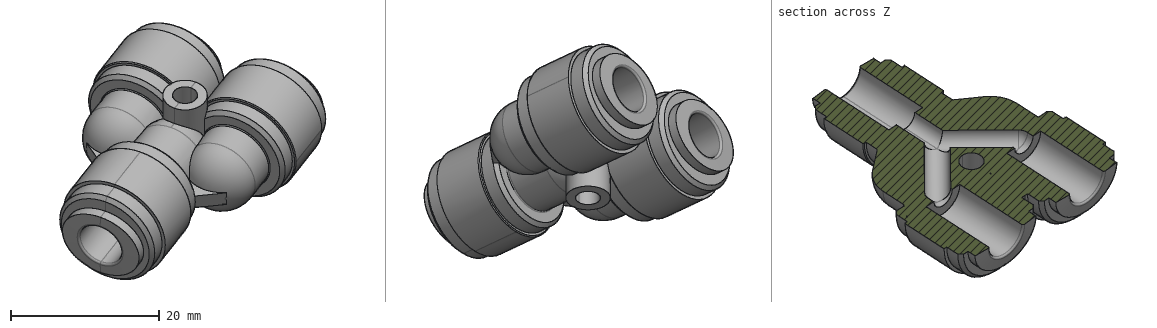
import cadquery as cq
import math


port_length = 14.3
overall_length = 38.8
branch_offset = 7.75
stem_back_y = -(overall_length - 2 * port_length)
dome_centre_y = -4.05

grip_radius = 7.75
housing_radius = 7.25
rim_chamfer = 0.55
grip_start = 2.6
grip_end = 10.15
grip_chamfer = 0.15
housing_length = 12.8

collar_width = 11.7
collar_height = 10.0
collar_slope_drop = 0.15

tube_bore_radius = 3.2
mouth_radius = 3.5
tube_bore_depth = 12.0
channel_radius = 1.75
channel_split_y = -6.5
channel_angle = math.radians(45)

body_radius = 5.1
root_fillet = 0.15
boss_radius = 3.0
mount_hole_radius = 1.675
height = 2 * grip_radius
rib_thickness = 2.1
rib_outer_x = 10.7
rib_outer_y = -8.2

mouth_round = mouth_radius - tube_bore_radius


def revolve_about_y(profile):
    return profile.close().revolve(360, (0, 0, 0), (0, 1, 0))


def make_housing():
    """Stepped housing of a port that opens toward +Y, with its back at Y = 0."""
    return revolve_about_y(
        cq.Workplane("XY")
        .moveTo(0, 0)
        .lineTo(housing_radius - rim_chamfer, 0)
        .lineTo(housing_radius, rim_chamfer)
        .lineTo(housing_radius, grip_start)
        .lineTo(grip_radius - grip_chamfer, grip_start)
        .lineTo(grip_radius, grip_start + grip_chamfer)
        .lineTo(grip_radius, grip_end)
        .lineTo(housing_radius, grip_end)
        .lineTo(housing_radius, housing_length - rim_chamfer)
        .lineTo(housing_radius - rim_chamfer, housing_length)
        .lineTo(0, housing_length)
    )


def make_collar():
    """Oval collar whose end face falls away from the mouth as a shallow cone."""
    oval = (
        cq.Workplane("XZ", origin=(0, port_length, 0))
        .ellipse(collar_width / 2, collar_height / 2)
        .extrude(port_length - grip_end)
    )
    cone_end = revolve_about_y(
        cq.Workplane("XY")
        .moveTo(0, 0)
        .lineTo(collar_width / 2, 0)
        .lineTo(collar_width / 2, port_length - collar_slope_drop)
        .lineTo(mouth_radius, port_length)
        .lineTo(0, port_length)
    )
    return oval.intersect(cone_end)


def make_tube_bore():
    """Space for the inserted tube, with a rounded mouth."""
    return revolve_about_y(
        cq.Workplane("XY")
        .moveTo(0, port_length - tube_bore_depth)
        .lineTo(tube_bore_radius, port_length - tube_bore_depth)
        .lineTo(tube_bore_radius, port_length - mouth_round)
        .radiusArc((mouth_radius, port_length), mouth_round)
        .lineTo(0, port_length)
    )


def cylinder_between(start, end, radius):
    axis = cq.Vector(*end) - cq.Vector(*start)
    return cq.Workplane(cq.Solid.makeCylinder(radius, axis.Length, cq.Vector(*start), axis))


def at_single_port(shape):
    return shape.rotate((0, 0, 0), (0, 0, 1), 180).translate((0, stem_back_y, 0))


def at_twin_port(shape):
    return shape.translate((branch_offset, 0, 0))


def make_body_tube(length):
    """Round-ended tube behind a port, flared by a small fillet where it meets the port."""
    return revolve_about_y(
        cq.Workplane("XY")
        .moveTo(0, root_fillet)
        .lineTo(body_radius + root_fillet, root_fillet)
        .lineTo(body_radius + root_fillet, 0)
        .radiusArc((body_radius, -root_fillet), -root_fillet)
        .lineTo(body_radius, -length)
        .radiusArc((0, -length - body_radius), body_radius)
    )


def make_rib():
    """Flat web joining the domes of the twin tubes to the single port."""
    housing_edge_y = stem_back_y - rim_chamfer
    rib_slope = (rib_outer_y - housing_edge_y) / (rib_outer_x - housing_radius)
    rib_inner_y = rib_outer_y - rib_slope * (rib_outer_x - body_radius)
    return (
        cq.Workplane("XY", origin=(0, 0, -rib_thickness / 2))
        .moveTo(0, dome_centre_y)
        .lineTo(branch_offset, dome_centre_y)
        .lineTo(rib_outer_x, rib_outer_y)
        .lineTo(body_radius, rib_inner_y)
        .lineTo(0, rib_inner_y)
        .close()
        .extrude(rib_thickness)
    )


def make_channels():
    """Passage from the single tube bore, turning off to the twin tube bore on the +X side."""
    turn_y = channel_split_y + branch_offset / math.tan(channel_angle)
    single_floor = (0, stem_back_y - (port_length - tube_bore_depth), 0)
    split = (0, channel_split_y, 0)
    turn = (branch_offset, turn_y, 0)
    twin_floor = (branch_offset, port_length - tube_bore_depth, 0)
    elbow = cq.Workplane("XY").sphere(channel_radius).translate(turn)
    return (
        cylinder_between(single_floor, split, channel_radius)
        .union(cylinder_between(split, turn, channel_radius))
        .union(elbow)
        .union(cylinder_between(turn, twin_floor, channel_radius))
    )


def z_cylinder(radius):
    return cq.Workplane("XY", origin=(0, 0, -height / 2)).circle(radius).extrude(height)


def make_right_half():
    """The half of the fitting on the +X side of its plane of symmetry."""
    port = make_housing().union(make_collar())
    tube_bore = make_tube_bore()
    stem = at_single_port(make_body_tube(dome_centre_y - stem_back_y).union(port))
    branch = at_twin_port(make_body_tube(-dome_centre_y).union(port))
    right_side = cq.Workplane("XY").box(
        2 * overall_length, 2 * overall_length, 2 * height, centered=(False, True, True)
    )
    half = (
        stem.intersect(right_side)
        .union(branch.intersect(right_side))
        .union(make_rib())
        .union(z_cylinder(boss_radius).intersect(right_side))
    )
    return (
        half.cut(at_single_port(tube_bore))
        .cut(at_twin_port(tube_bore))
        .cut(make_channels())
        .cut(z_cylinder(mount_hole_radius))
    )


right_half = make_right_half()
result = right_half.union(right_half.mirror("YZ")).clean().solids()